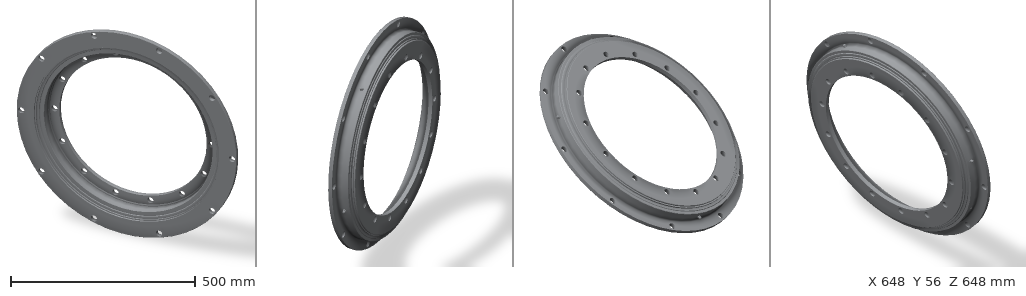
import cadquery as cq
import math


half_width = 28.0
body_end = 17.0
flange_thickness = 11.5
gap_radius = 272.0
gap = 2.0
corner_radius = 3.55
edge_chamfer = 1.0
flange_face = half_width - flange_thickness

outer_flange_radius = 324.0
outer_body_radius = 291.5
outer_bore_radius = gap_radius + gap / 2

inner_bore_radius = 217.0
inner_body_radius = 248.0
inner_outside_radius = gap_radius - gap / 2

hole_radius = 9.0
outer_hole_count = 10
outer_hole_circle = 310.5
inner_hole_count = 14
inner_hole_circle = 231.5

seal_foot = 4.5
seal_rim = 2.5
seal_lip = 10.0
seal_lip_base = 11.0
seal_contact = 7.0
seal_rim_height = 23.5
seal_step_height = 19.5
seal_lip_height = 19.0
seal_back_height = 18.0

plug_angle = 198
plug_radius = 12.0
plug_hole_radius = 2.9
plug_hole_depth = 10.0

nipple_angles = (54, 162, 234, 342)
nipple_collar_radius = 5.0
nipple_stem_radius = 4.0
nipple_tip_chamfer = 2.0
nipple_seat = 282.0
nipple_collar_end = 293.0
nipple_stem_end = 300.0



def revolve_about_y(section):
    return section.close().revolve(360, (0, 0, 0), (1, 0, 0))


def radial_plane(angle, distance):
    """Plane facing outward at the given angle from +X towards +Z."""
    x = math.cos(math.radians(angle))
    z = math.sin(math.radians(angle))
    return cq.Plane(origin=(distance * x, 0, distance * z), xDir=(0, 1, 0), normal=(x, 0, z))


def radial_cylinder(angle, radius, start, end):
    return cq.Workplane(radial_plane(angle, start)).circle(radius).extrude(end - start)


def bolt_holes(count, circle_radius):
    return (
        cq.Workplane("XZ", origin=(0, half_width, 0))
        .polarArray(circle_radius, 0, 360, count)
        .circle(hole_radius)
        .extrude(2 * half_width)
    )


def make_seal(side):
    """Seal on the +Y (side = 1) or -Y (side = -1) face; the lip points away from its groove."""
    section_points = [
        (seal_back_height, -seal_foot),
        (seal_rim_height, -seal_foot),
        (seal_rim_height, seal_rim),
        (seal_step_height, seal_rim),
        (seal_lip_height, seal_lip),
        (body_end, seal_lip_base),
        (body_end, seal_contact),
        (seal_back_height, seal_rim),
    ]
    placed = [(side * y, gap_radius + side * reach) for y, reach in section_points]
    return revolve_about_y(cq.Workplane("YZ").polyline(placed))


def make_outer_ring(front_seal, plug_bore):
    section = (
        cq.Workplane("YZ")
        .moveTo(-half_width, outer_bore_radius)
        .lineTo(-half_width, outer_flange_radius - edge_chamfer)
        .lineTo(-half_width + edge_chamfer, outer_flange_radius)
        .lineTo(-flange_face, outer_flange_radius)
        .lineTo(-flange_face, outer_body_radius + corner_radius)
        .radiusArc((-flange_face + corner_radius, outer_body_radius), -corner_radius)
        .lineTo(body_end - edge_chamfer, outer_body_radius)
        .lineTo(body_end, outer_body_radius - edge_chamfer)
        .lineTo(body_end, outer_bore_radius)
    )
    ring = revolve_about_y(section).cut(bolt_holes(outer_hole_count, outer_hole_circle))
    ring = ring.cut(front_seal).cut(plug_bore)
    for angle in nipple_angles:
        ring = ring.cut(radial_cylinder(angle, nipple_collar_radius, nipple_seat, outer_flange_radius))
    return ring


def make_inner_ring(back_seal):
    section = (
        cq.Workplane("YZ")
        .moveTo(half_width, inner_bore_radius)
        .lineTo(half_width, inner_outside_radius - edge_chamfer)
        .lineTo(half_width - edge_chamfer, inner_outside_radius)
        .lineTo(-body_end, inner_outside_radius)
        .lineTo(-body_end, inner_body_radius + edge_chamfer)
        .lineTo(-body_end + edge_chamfer, inner_body_radius)
        .lineTo(flange_face - corner_radius, inner_body_radius)
        .radiusArc((flange_face, inner_body_radius - corner_radius), -corner_radius)
        .lineTo(flange_face, inner_bore_radius)
    )
    ring = revolve_about_y(section).cut(bolt_holes(inner_hole_count, inner_hole_circle))
    return ring.cut(back_seal)


def make_plug(plug_bore):
    """Filling plug whose ends follow the outside and the bore of the outer ring."""
    wall = (
        cq.Workplane("XZ", origin=(0, half_width, 0))
        .circle(outer_body_radius)
        .circle(outer_bore_radius)
        .extrude(2 * half_width)
    )
    hole_start = outer_body_radius - plug_hole_depth
    hole = radial_cylinder(plug_angle, plug_hole_radius, hole_start, outer_body_radius)
    return plug_bore.intersect(wall).cut(hole)


def make_nipple(angle):
    """Grease nipple: a collar seated in the outer ring and a thinner stem with a chamfered tip."""
    collar = radial_cylinder(angle, nipple_collar_radius, nipple_seat, nipple_collar_end)
    stem = radial_cylinder(angle, nipple_stem_radius, nipple_collar_end, nipple_stem_end)
    outward = radial_plane(angle, 0).zDir
    tip_face = cq.selectors.DirectionMinMaxSelector(outward)
    return collar.union(stem.faces(tip_face).chamfer(nipple_tip_chamfer))


front_seal = make_seal(-1)
back_seal = make_seal(1)
plug_bore = radial_cylinder(plug_angle, plug_radius, gap_radius - seal_foot, outer_flange_radius)
outer_ring = make_outer_ring(front_seal, plug_bore)
inner_ring = make_inner_ring(back_seal)
plug = make_plug(plug_bore)
nipples = [make_nipple(angle) for angle in nipple_angles]

result = cq.Compound.makeCompound(
    [outer_ring.val(), inner_ring.val(), front_seal.val(), back_seal.val(), plug.val()]
    + [nipple.val() for nipple in nipples]
)